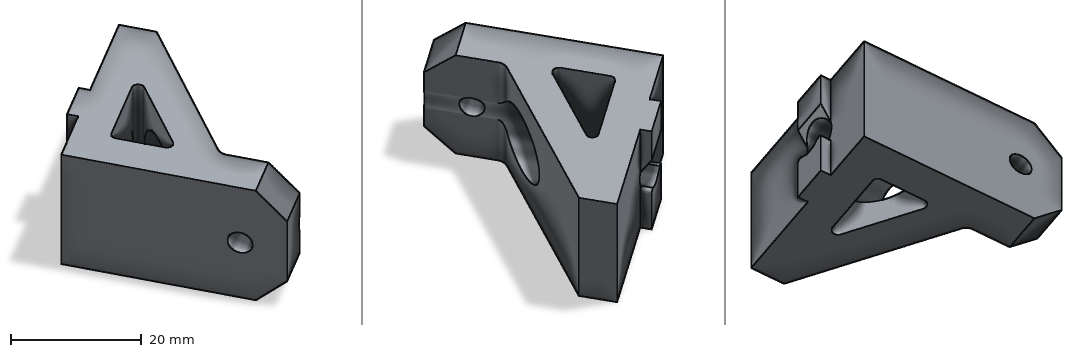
import cadquery as cq
import math

length = 36.0
depth = 32.0
height = 22.0
plate_thickness = 7.0
wall = 6.0

brace_angle = math.radians(55.3)
brace_foot_x = wall + (depth - plate_thickness) / math.tan(brace_angle)
brace_fillet = 2.0
window_fillet = 1.0

end_chamfer = 5.0
screw_diameter = 4.0
screw_from_end = 7.5

tab_projection = 1.8
tab_width = 6.5
bore_center_y = 12.7
lower_tab_top = 8.4
lower_tab_fillet = 0.5
upper_tab_bottom = 15.45
upper_tab_angle = math.radians(60)
bore_diameter = 7.0
access_diameter = 12.0
mid_height = height / 2


def bracket_body():
    outline = [
        (0, 0),
        (length, 0),
        (length, plate_thickness),
        (brace_foot_x, plate_thickness),
        (wall, depth),
        (0, depth),
    ]
    body = cq.Workplane("XY").polyline(outline).close().extrude(height)
    foot_edge = cq.selectors.NearestToPointSelector((brace_foot_x, plate_thickness, mid_height))
    body = body.edges(foot_edge).fillet(brace_fillet)
    return body.faces(">X").edges("|Y").chamfer(end_chamfer)


def triangular_window():
    slope_shift = wall / math.sin(brace_angle)
    bottom_right_x = wall + (depth - wall) / math.tan(brace_angle) - slope_shift
    top_y = depth - slope_shift * math.tan(brace_angle)
    corners = [(wall, wall), (bottom_right_x, wall), (wall, top_y)]
    window = cq.Workplane("XY").polyline(corners).close().extrude(height)
    return window.edges("|Z").fillet(window_fillet)


def tab_block(profile):
    """Extrude an XZ profile across the tab width."""
    back_y = bore_center_y + tab_width / 2
    return cq.Workplane("XZ", origin=(0, back_y, 0)).polyline(profile).close().extrude(tab_width)


def lower_tab():
    profile = [
        (-tab_projection, 0),
        (0, 0),
        (0, lower_tab_top),
        (-tab_projection, lower_tab_top),
    ]
    return tab_block(profile).faces(">Z").edges("|X").fillet(lower_tab_fillet)


def upper_tab():
    bottom_at_wall = upper_tab_bottom - tab_projection * math.tan(upper_tab_angle)
    profile = [
        (-tab_projection, upper_tab_bottom),
        (0, bottom_at_wall),
        (0, height),
        (-tab_projection, height),
    ]
    return tab_block(profile)


def rod_bore():
    start = (-tab_projection, bore_center_y, mid_height)
    return cq.Workplane("YZ", origin=start).circle(bore_diameter / 2).extrude(tab_projection + wall)


def brace_access_hole():
    start = (wall, bore_center_y, mid_height)
    return cq.Workplane("YZ", origin=start).circle(access_diameter / 2).extrude(length - wall)


def screw_hole():
    start = (length - screw_from_end, plate_thickness, mid_height)
    return cq.Workplane("XZ", origin=start).circle(screw_diameter / 2).extrude(plate_thickness)


result = (
    bracket_body()
    .cut(triangular_window())
    .union(lower_tab())
    .union(upper_tab())
    .cut(rod_bore())
    .cut(brace_access_hole())
    .cut(screw_hole())
)